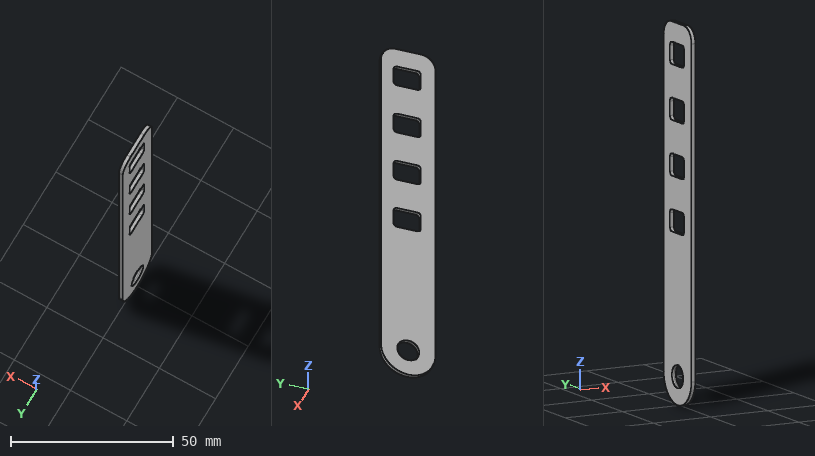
import cadquery as cq

length = 120.0
width = 18.0
thickness = 1.5
end_radius = width / 2
corner_radius = 4.8

hole_diameter = 7.2

window_count = 4
window_width = 9.0
window_height = 7.0
window_corner_radius = 1.2
window_pitch = 17.5
window_offset_y = 0.4
top_window_drop = 10.0

top_z = length / 2
end_center_z = -length / 2 + end_radius


def make_plate():
    """Flat bar with a round lower end and rounded upper corners."""
    half_width = width / 2
    outline = (
        cq.Workplane("YZ")
        .moveTo(-half_width, end_center_z)
        .threePointArc((0, -length / 2), (half_width, end_center_z))
        .lineTo(half_width, top_z)
        .lineTo(-half_width, top_z)
        .close()
    )
    plate = outline.extrude(thickness / 2, both=True)
    return plate.edges("|X and >Z").fillet(corner_radius)


def make_pivot_hole():
    return (
        cq.Workplane("YZ")
        .center(0, end_center_z)
        .circle(hole_diameter / 2)
        .extrude(thickness, both=True)
    )


def make_window(center_z):
    """Cutter for one window with rounded corners."""
    return (
        cq.Workplane("YZ")
        .center(window_offset_y, center_z)
        .rect(window_width, window_height)
        .extrude(thickness, both=True)
        .edges("|X")
        .fillet(window_corner_radius)
    )


result = make_plate().cut(make_pivot_hole())
for index in range(window_count):
    result = result.cut(make_window(top_z - top_window_drop - index * window_pitch))